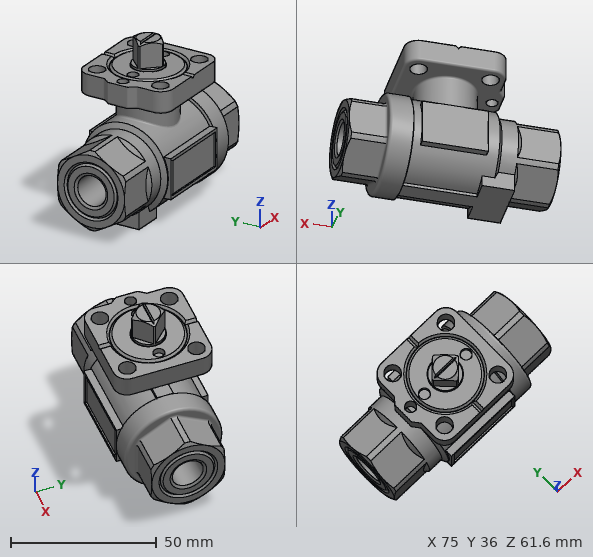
import cadquery as cq
import math

margin = 0.1

half_length = 37.5

hex_flats = 27.0
hex_corner_radius = 15.0
end_chamfer_length = 0.8
left_hex_end = -22.05
hex_runout = hex_corner_radius - hex_flats / 2

bore_radius = 5.7
bore_depth = 22.5
bore_mouth_radius = 6.75
bore_mouth_depth = 0.6
face_groove_radius = 10.05
face_groove_depth = 0.75

body_radius = 17.0
body_start = -15.0
shoulder_start = -16.2
cap_radius = 18.0
cap_start = 15.8
cap_step_length = 0.4
cap_end = 24.1
cap_fillet = 1.1
cap_cove_radius = 0.9

frame_start = -14.55
frame_half_height = 7.7
frame_window_start = -13.2
frame_window_end = 14.8
frame_window_half_height = 6.5
frame_window_depth = 0.6
back_pad_start = -10.8
back_pad_end = 12.6
back_pad_half_height = 8.55
back_pad_face = 17.1
foot_end = -10.5
foot_half_width = 9.8
rib_half_width = 3.0

neck_radius = 11.0
neck_fillet = 0.75
flange_half_width = 18.0
flange_bottom = 25.05
flange_top = 33.45
flange_corner_radius = 5.0
flange_edge_fillet = 0.9
tab_reach = 20.0
tab_tip_half_width = 4.0
tab_root_half_width = 6.6
tab_fillet = 0.75
mount_hole_offset = 12.75
mount_hole_radius = 3.0
pin_hole_offset = 16.6
small_hole_radius = 2.0
blind_hole_offset = 10.0
blind_hole_depth = 2.25
ring_groove_radius = 13.35
ring_groove_depth = 0.8
ring_groove_floor = 0.15
mark_depth = 1.0

stem_radius = 6.0
stem_gap_width = 0.2
stem_gap_depth = 0.4
stem_square = 9.0
stem_shoulder = 34.1
stem_top = 43.6
stem_chamfer_width = 1.8
stem_chamfer_angle = 30.0
slot_half_width = 0.45
slot_depth = 0.6


def box(x_range, y_range, z_range):
    """Block between two limits on every axis."""
    sizes = [high - low for low, high in (x_range, y_range, z_range)]
    return cq.Workplane("XY").box(*sizes, centered=False).translate((x_range[0], y_range[0], z_range[0]))


def turned_x(points):
    """Solid of revolution about X from (x, radius) points."""
    return cq.Workplane("XY").polyline(points).close().revolve(360, (0, 0, 0), (1, 0, 0))


def turned_z(points):
    """Solid of revolution about Z from (radius, z) points."""
    return cq.Workplane("XZ").polyline(points).close().revolve(360, (0, 0, 0), (0, 1, 0))


def hex_bar(start, end):
    """Hexagonal bar along X with two flats facing -Y and +Y."""
    bar = cq.Workplane("YZ").polygon(6, hex_flats / math.cos(math.pi / 6)).extrude(end - start)
    return bar.rotate((0, 0, 0), (1, 0, 0), 90).translate((start, 0, 0))


def left_end():
    """Hexagon end whose flats run out on a 45 degree cone below the round collar."""
    flats = hex_bar(-half_length, left_hex_end)
    blank = turned_x([
        (-half_length, 0),
        (-half_length, hex_flats / 2),
        (-half_length + end_chamfer_length, hex_corner_radius),
        (left_hex_end, hex_corner_radius),
        (left_hex_end, 0),
    ])
    collar = turned_x([
        (left_hex_end - hex_runout, 0),
        (left_hex_end - hex_runout, hex_flats / 2),
        (left_hex_end, hex_corner_radius),
        (shoulder_start, hex_corner_radius),
        (shoulder_start, 0),
    ])
    return blank.intersect(flats).union(collar)


def right_end():
    """Hexagon end that starts at the flat face of the cap."""
    flats = hex_bar(cap_end, half_length)
    blank = turned_x([
        (cap_end, 0),
        (cap_end, hex_corner_radius),
        (half_length - end_chamfer_length, hex_corner_radius),
        (half_length, hex_flats / 2),
        (half_length, 0),
    ])
    return blank.intersect(flats)


def body():
    """Round body between the left shoulder and the cap, with ribs under the cap diameter."""
    barrel = turned_x([
        (shoulder_start, 0),
        (shoulder_start, hex_corner_radius),
        (body_start, body_radius),
        (cap_start, body_radius),
        (cap_start, 0),
    ])
    rib = box((0, cap_start), (-rib_half_width, rib_half_width), (0, cap_radius))
    lower_rib = box((foot_end, cap_start), (-rib_half_width, rib_half_width), (-cap_radius, 0))
    return barrel.union(rib).union(lower_rib)


def cap_and_right_end():
    """Cap with a rounded rim and a cove around the foot of its hexagon."""
    cap = turned_x([
        (cap_start - cap_step_length, 0),
        (cap_start - cap_step_length, body_radius),
        (cap_start, cap_radius),
        (cap_end, cap_radius),
        (cap_end, 0),
    ])
    cap = cap.faces(">X").edges().fillet(cap_fillet).union(right_end())
    reach = hex_corner_radius + margin
    hex_foot = cq.selectors.BoxSelector(
        (cap_end - margin, -reach, -reach),
        (cap_end + margin, reach, reach),
        boundingbox=True,
    )
    return cap.edges(hex_foot).fillet(cap_cove_radius)


def side_frame():
    """Framed label field on the -Y side."""
    heights = (-frame_half_height, frame_half_height)
    window_heights = (-frame_window_half_height, frame_window_half_height)
    block = box((frame_start, cap_start), (-cap_radius, 0), heights)
    window = box(
        (frame_window_start, frame_window_end),
        (-cap_radius, -cap_radius + frame_window_depth),
        window_heights,
    )
    return block.cut(window)


def back_pad():
    return box(
        (back_pad_start, back_pad_end),
        (0, back_pad_face),
        (-back_pad_half_height, back_pad_half_height),
    )


def foot():
    return box((left_hex_end, foot_end), (-foot_half_width, foot_half_width), (-cap_radius, 0))


def flange():
    """Square mounting flange with a tapered tab on the -X side."""
    height = flange_top - flange_bottom
    plate = (
        cq.Workplane("XY")
        .rect(2 * flange_half_width, 2 * flange_half_width)
        .extrude(height)
        .edges("|Z")
        .fillet(flange_corner_radius)
    )
    tab = (
        cq.Workplane("XY")
        .polyline([
            (0, -tab_root_half_width),
            (-flange_half_width, -tab_root_half_width),
            (-tab_reach, -tab_tip_half_width),
            (-tab_reach, tab_tip_half_width),
            (-flange_half_width, tab_root_half_width),
            (0, tab_root_half_width),
        ])
        .close()
        .extrude(height)
    )
    tab_corners = cq.selectors.BoxSelector(
        (-tab_reach - margin, -tab_root_half_width - margin, 0),
        (-flange_half_width + margin, tab_root_half_width + margin, height),
    )
    plate = plate.union(tab).edges("|Z").edges(tab_corners).fillet(tab_fillet)
    plate = plate.faces("<Z").edges().fillet(flange_edge_fillet)
    return plate.translate((0, 0, flange_bottom))


def flange_holes():
    """Four mounting holes and the pin hole, all through the flange."""
    corners = [(i * mount_hole_offset, j * mount_hole_offset) for i in (-1, 1) for j in (-1, 1)]
    height = flange_top - flange_bottom
    plane = cq.Workplane("XY", origin=(0, 0, flange_bottom))
    mount_holes = plane.pushPoints(corners).circle(mount_hole_radius).extrude(height)
    pin_hole = plane.center(-pin_hole_offset, 0).circle(small_hole_radius).extrude(height)
    return mount_holes.union(pin_hole)


def flange_face_cuts():
    """Ring groove, gap around the stem, position marks and blind holes in the top face of the flange."""
    floor_inner = ring_groove_radius - ring_groove_floor / 2
    floor_outer = ring_groove_radius + ring_groove_floor / 2
    groove = turned_z([
        (floor_inner - ring_groove_depth, flange_top),
        (floor_inner, flange_top - ring_groove_depth),
        (floor_outer, flange_top - ring_groove_depth),
        (floor_outer + ring_groove_depth, flange_top),
    ])
    stem_gap = turned_z([
        (stem_radius, flange_top),
        (stem_radius, flange_top - stem_gap_depth),
        (stem_radius + stem_gap_width, flange_top - stem_gap_depth),
        (stem_radius + stem_gap_width, flange_top),
    ])
    blind_holes = (
        cq.Workplane("XY", origin=(0, 0, flange_top - blind_hole_depth))
        .pushPoints([(-blind_hole_offset, 0), (blind_hole_offset, 0)])
        .circle(small_hole_radius)
        .extrude(blind_hole_depth)
    )
    cuts = groove.union(stem_gap).union(blind_holes)
    mark_length = flange_half_width - ring_groove_radius
    for start in (-flange_half_width, ring_groove_radius):
        mark = (
            cq.Workplane("XZ", origin=(0, start, 0))
            .polyline([
                (-mark_depth, flange_top),
                (0, flange_top - mark_depth),
                (mark_depth, flange_top),
            ])
            .close()
            .extrude(-mark_length)
        )
        cuts = cuts.union(mark)
    return cuts


def stem():
    """Round stem with a chamfered, slotted square on top, corners pointing along X and Y."""
    chamfer_height = stem_chamfer_width * math.tan(math.radians(stem_chamfer_angle))
    blank = turned_z([
        (0, flange_top),
        (stem_radius, flange_top),
        (stem_radius, stem_top - chamfer_height),
        (stem_radius - stem_chamfer_width, stem_top),
        (0, stem_top),
    ])
    square = (
        cq.Workplane("XY", origin=(0, 0, stem_shoulder))
        .rect(stem_square, stem_square)
        .extrude(stem_top - stem_shoulder)
        .rotate((0, 0, 0), (0, 0, 1), 45)
    )
    shoulder = (
        cq.Workplane("XY", origin=(0, 0, flange_top))
        .circle(stem_radius)
        .extrude(stem_shoulder - flange_top)
    )
    slot = (
        cq.Workplane("YZ", origin=(-stem_radius, 0, 0))
        .polyline([
            (-slot_half_width, stem_top),
            (0, stem_top - slot_depth),
            (slot_half_width, stem_top),
        ])
        .close()
        .extrude(2 * stem_radius)
    )
    return blank.intersect(square.union(shoulder)).cut(slot)


def port():
    """Blind bore of the -X end with its tapered mouth and the V groove around it."""
    bore = turned_x([
        (-half_length, 0),
        (-half_length, bore_mouth_radius),
        (-half_length + bore_mouth_depth, bore_radius),
        (-half_length + bore_depth, bore_radius),
        (-half_length + bore_depth, 0),
    ])
    groove = turned_x([
        (-half_length, face_groove_radius - face_groove_depth),
        (-half_length + face_groove_depth, face_groove_radius),
        (-half_length, face_groove_radius + face_groove_depth),
    ])
    return bore.union(groove)


def housing():
    """Body with its neck and flange, both junctions of the neck rounded."""
    neck = cq.Workplane("XY").circle(neck_radius).extrude(flange_bottom)
    reach = neck_radius + margin
    body_junction = cq.selectors.BoxSelector(
        (-reach, -reach, 0),
        (reach, reach, flange_bottom - margin),
        boundingbox=True,
    )
    flange_junction = cq.selectors.BoxSelector(
        (-reach, -reach, flange_bottom - margin),
        (reach, reach, flange_bottom + margin),
        boundingbox=True,
    )
    rounded = body().union(neck).edges(body_junction).fillet(neck_fillet)
    return rounded.union(flange()).edges(flange_junction).fillet(neck_fillet)


result = housing()
for feature in (cap_and_right_end(), left_end(), side_frame(), back_pad(), foot(), stem()):
    result = result.union(feature)

left_port = port()
right_port = left_port.mirror("YZ")
for cutter in (flange_holes(), flange_face_cuts(), left_port, right_port):
    result = result.cut(cutter)